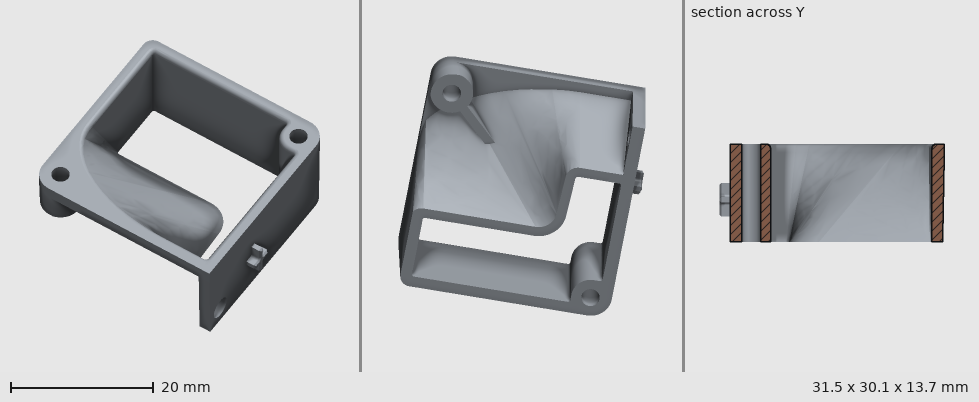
import cadquery as cq
import math

side = 30.05
height = 13.7
overall_length = 31.53
flange_thickness = 2.0
flange_bottom = height - flange_thickness
wall = 1.8
inner_far = side - wall
lip_radius = 0.65
draft = 0.22
small_corner = 1.5
large_corner = 3.0

far_boss_center = side - large_corner
screw_diameter = 2.6
short_boss_bottom = 7.65
web_width = 1.25
web_length = 11.05
tall_boss_radius = 2.7
inside_corner = 0.3

curve_center_x = 20.8
curve_center_y = 12.45
curve_front_y = 1.73
step_back_y = 19.15
step_side_x = 21.5
step_root_x = 21.75
step_front_y = 9.15
step_radius = 3.95
step_root_radius = 0.38
inner_side_radius = 0.25
outer_side_radius = 1.58
duct_thickness = 1.4
inner_exponent = 2.1
outer_exponent = 3.1
split_angles = [0, 12, 40, 65, 85, 90]
points_per_piece = 7

side_hole_diameter = 3.25
side_hole_inset = 2.77

key_center_y = 11.05
key_center_z = 5.9
key_width = 3.35
key_height = 4.67
key_arm = 0.75
key_root_radius = 0.38
key_tip_chamfer = 0.25

arc_gap = 1 - math.sqrt(0.5)


def box(x0, x1, y0, y1, z0, z1):
    """Box between two opposite corners."""
    return cq.Workplane("XY").box(x1 - x0, y1 - y0, z1 - z0, centered=False).translate((x0, y0, z0))


def outer_outline(z, inset):
    """Body outline with three round corners; the +X face stays upright."""
    near = inset
    far = side - inset
    small_gap = small_corner * arc_gap
    large_gap = large_corner * arc_gap
    return (
        cq.Workplane("XY", origin=(0, 0, z))
        .moveTo(near + large_corner, near)
        .lineTo(side, near)
        .lineTo(side, far - large_corner)
        .threePointArc((side - large_gap, far - large_gap), (side - large_corner, far))
        .lineTo(near + small_corner, far)
        .threePointArc((near + small_gap, far - small_gap), (near, far - small_corner))
        .lineTo(near, near + large_corner)
        .threePointArc((near + large_gap, near + large_gap), (near + large_corner, near))
        .close()
    )


def lines_through(points):
    return [cq.Edge.makeLine(a, b) for a, b in zip(points, points[1:])]


def duct_top_edges(left, offset, exponent):
    """Closed outline at the top: a quarter superellipse, then three straight walls."""
    front = curve_front_y - offset

    def curve_point(degrees):
        angle = math.radians(degrees)
        across = math.cos(angle) ** (2 / exponent)
        along = math.sin(angle) ** (2 / exponent)
        x = curve_center_x - (curve_center_x - left) * across
        y = curve_center_y - (curve_center_y - front) * along
        return cq.Vector(x, y, height)

    edges = []
    for start, end in zip(split_angles, split_angles[1:]):
        step = (end - start) / (points_per_piece - 1)
        edges.append(cq.Edge.makeSpline([curve_point(start + i * step) for i in range(points_per_piece)]))
    return edges + lines_through([
        curve_point(split_angles[-1]),
        cq.Vector(inner_far, front, height),
        cq.Vector(inner_far, inner_far, height),
        cq.Vector(left, inner_far, height),
        curve_point(split_angles[0]),
    ])


def duct_bottom_edges(left, offset, side_radius):
    """Closed outline at the bottom: the stepped edge, then three straight walls."""
    back = step_back_y - offset
    front = step_front_y - offset
    side_x = step_side_x - offset
    root_x = step_root_x - offset
    radius = step_radius - offset
    root_radius = step_root_radius + offset

    side_start = cq.Vector(left, back + side_radius)
    side_middle = cq.Vector(left + side_radius * arc_gap, back + side_radius * arc_gap)
    side_end = cq.Vector(left + side_radius, back)
    step_start = cq.Vector(side_x - radius, back)
    step_middle = cq.Vector(side_x - radius * arc_gap, back - radius * arc_gap)
    step_end = cq.Vector(side_x, back - radius)
    root_start = cq.Vector(root_x, front + root_radius)
    root_middle = cq.Vector(root_x + root_radius * arc_gap, front + root_radius * arc_gap)
    root_end = cq.Vector(root_x + root_radius, front)
    return [
        cq.Edge.makeThreePointArc(side_start, side_middle, side_end),
        cq.Edge.makeLine(side_end, step_start),
        cq.Edge.makeThreePointArc(step_start, step_middle, step_end),
        cq.Edge.makeLine(step_end, root_start),
        cq.Edge.makeThreePointArc(root_start, root_middle, root_end),
    ] + lines_through([
        root_end,
        cq.Vector(inner_far, front),
        cq.Vector(inner_far, inner_far),
        cq.Vector(left, inner_far),
        side_start,
    ])


def duct_solid(left, offset, side_radius, exponent):
    """Solid ruled between the bottom and top duct outlines."""
    top_edges = duct_top_edges(left, offset, exponent)
    bottom_edges = duct_bottom_edges(left, offset, side_radius)
    faces = [cq.Face.makeRuledSurface(a, b) for a, b in zip(bottom_edges, top_edges)]
    for edges in (bottom_edges, top_edges):
        faces.append(cq.Face.makeFromWires(cq.Wire.assembleEdges(edges)))
    return cq.Workplane(obj=cq.Solid.makeSolid(cq.Shell.makeShell(faces)).fix())


def drafted_envelope():
    """Everything under the flange is trimmed to this slightly tapered block."""
    wires = [outer_outline(0, draft).val(), outer_outline(flange_bottom, 0).val()]
    return cq.Workplane(obj=cq.Solid.makeLoft(wires, True))


def upright_walls():
    """Full +X and +Y walls, and the -X wall that ends along the duct."""
    right_wall = box(inner_far, side, 0, side, 0, flange_bottom)
    back_wall = box(0, side, inner_far, side, 0, flange_bottom)
    left_wall = (
        cq.Workplane("YZ")
        .moveTo(step_back_y - duct_thickness + outer_side_radius, 0)
        .lineTo(side, 0)
        .lineTo(side, height)
        .lineTo(curve_center_y, height)
        .close()
        .extrude(wall)
    )
    return right_wall.union(back_wall).union(left_wall)


def short_boss():
    """Round boss under the flange with a diagonal web running into the duct."""
    depth = flange_bottom - short_boss_bottom
    post = cq.Workplane("XY").circle(large_corner).extrude(depth)
    web = cq.Workplane("XY").center(web_length / 2, 0).rect(web_length, web_width).extrude(depth)
    web = web.rotate((0, 0, 0), (0, 0, 1), 45)
    return post.union(web).translate((large_corner, large_corner, short_boss_bottom))


def tall_boss():
    """Full-height boss that fills the far corner of the cavity."""
    near = far_boss_center - tall_boss_radius
    post = (
        cq.Workplane("XY", origin=(far_boss_center, far_boss_center, 0))
        .circle(tall_boss_radius)
        .extrude(height)
    )
    post = post.union(box(near, side, far_boss_center, side, 0, height))
    return post.union(box(far_boss_center, side, near, side, 0, height))


def cavity():
    """Inner space of the body with its upright corners rounded."""
    space = duct_solid(wall, 0, inner_side_radius, inner_exponent).cut(tall_boss())
    boss_edge = far_boss_center - tall_boss_radius
    mid = height / 2
    corners = [
        (wall, inner_far, mid),
        (boss_edge, inner_far, mid),
        (inner_far, boss_edge, mid),
        (inner_far, (curve_front_y + step_front_y) / 2, mid),
    ]
    for corner in corners:
        space = space.edges(cq.selectors.NearestToPointSelector(corner)).fillet(inside_corner)
    return space


def key():
    """Cross-shaped key standing on the +X face."""
    length = overall_length - side
    base = cq.Workplane("YZ", origin=(side, key_center_y, key_center_z))
    cross = base.rect(key_width, key_arm).extrude(length)
    cross = cross.union(base.rect(key_arm, key_height).extrude(length))
    root_size = key_arm + key_root_radius
    root_edges = cq.selectors.BoxSelector(
        (side, key_center_y - root_size, key_center_z - root_size),
        (overall_length, key_center_y + root_size, key_center_z + root_size),
    )
    cross = cross.edges("|X").edges(root_edges).fillet(key_root_radius)
    return cross.faces(">X").chamfer(key_tip_chamfer)


flange = outer_outline(flange_bottom, 0).extrude(flange_thickness)
outer_duct = duct_solid(0, duct_thickness, outer_side_radius, outer_exponent)
body = flange
for feature in (upright_walls(), outer_duct, short_boss()):
    body = body.union(feature.intersect(drafted_envelope()))
body = body.cut(cavity())

top_rim = body.faces(">Z").val().innerWires()[0]
body = body.newObject(top_rim.Edges()).fillet(lip_radius)

for center in (large_corner, far_boss_center):
    screw_hole = cq.Workplane("XY").center(center, center).circle(screw_diameter / 2).extrude(height)
    body = body.cut(screw_hole)

side_hole = (
    cq.Workplane("YZ", origin=(inner_far, side_hole_inset, side_hole_inset))
    .circle(side_hole_diameter / 2)
    .extrude(wall)
)

result = body.cut(side_hole).union(key())